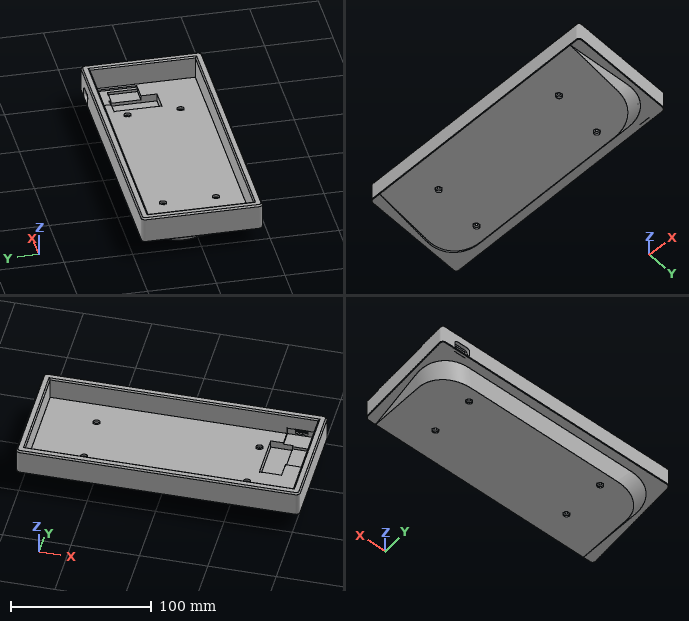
import cadquery as cq

LENGTH = 207.5
WIDTH = 88.4
TRAY_HEIGHT = 20.0
CORNER_RADIUS = 3.1
RIM_CHAMFER_IN = 1.0
RIM_CHAMFER_DOWN = 1.2
BASE_CHAMFER = 0.5
WALL = 5.8
FLOOR = 2.7
MOUTH_CHAMFER = 1.0

FOOT_DEPTH = 11.6
FOOT_FRONT_Y = BASE_CHAMFER - WIDTH / 2
FOOT_HEEL_Y = 30.5
FOOT_BACK_Y = 37.0
SOLE_HALF_LENGTH = 94.4
FOOT_BACK_HALF_LENGTH = 102.0
FOOT_CORNER_RADIUS = 29.5

SCREW_SPACING_X = 119.0
SCREW_SPACING_Y = 38.5
SCREW_HOLE_DIAMETER = 2.0
SCREW_HEAD_DIAMETER = 5.0
SCREW_HEAD_DEPTH = 1.9

CAVITY_BACK_Y = WIDTH / 2 - WALL
BOARD_LEFT = 75.0
BOARD_RIGHT = 95.8
BOARD_FRONT = 4.8
BOARD_DEPTH = 1.2
BOARD_WALL_RECESS = 1.5
BOARD_HEADROOM = 5.0
CHIP_RIGHT = 93.1
CHIP_BACK = 26.5
CHIP_DEPTH = 3.3
DEEP_LEFT = 65.7
DEEP_RIGHT = 82.0
DEEP_FRONT = -7.0
DEEP_BACK = 27.8
DEEP_DEPTH = 5.8

PORT_X = (BOARD_LEFT + BOARD_RIGHT) / 2
PORT_Z = 5.2
PORT_LENGTH = 9.1
PORT_HEIGHT = 5.0
PORT_CORNER_RADIUS = 0.8
PLUG_MARGIN = 2.0
PLUG_RECESS_DEPTH = 2.7


def box(x_min, x_max, y_min, y_max, z_min, z_max):
    """Axis-aligned block given by its limits."""
    block = cq.Workplane("XY").box(x_max - x_min, y_max - y_min, z_max - z_min, centered=False)
    return block.translate((x_min, y_min, z_min))


def cylinder(x, y, diameter, z_min, z_max):
    """Upright cylinder between two heights."""
    base = cq.Workplane("XY").workplane(offset=z_min).center(x, y)
    return base.circle(diameter / 2).extrude(z_max - z_min)


def tray():
    """Box with rounded corners, chamfered edges and a cavity that widens at its mouth."""
    body = cq.Workplane("XY").rect(LENGTH, WIDTH).extrude(TRAY_HEIGHT)
    body = body.edges("|Z").fillet(CORNER_RADIUS)
    body = body.faces(">Z").chamfer(RIM_CHAMFER_DOWN, RIM_CHAMFER_IN)
    body = body.faces("<Z").chamfer(BASE_CHAMFER)
    cavity_length = LENGTH - 2 * WALL
    cavity_width = WIDTH - 2 * WALL
    cavity = (
        cq.Workplane("XY")
        .workplane(offset=FLOOR)
        .rect(cavity_length, cavity_width)
        .extrude(TRAY_HEIGHT - FLOOR)
    )
    mouth = (
        cq.Workplane("XY")
        .workplane(offset=TRAY_HEIGHT - MOUTH_CHAMFER)
        .rect(cavity_length, cavity_width)
        .workplane(offset=MOUTH_CHAMFER)
        .rect(cavity_length + 2 * MOUTH_CHAMFER, cavity_width + 2 * MOUTH_CHAMFER)
        .loft()
    )
    return body.cut(cavity).cut(mouth)


def foot():
    """Five-sided wedge with flaring sides and broadly rounded rear corners."""
    front_left = (-SOLE_HALF_LENGTH, FOOT_FRONT_Y, 0)
    front_right = (SOLE_HALF_LENGTH, FOOT_FRONT_Y, 0)
    back_left = (-FOOT_BACK_HALF_LENGTH, FOOT_BACK_Y, 0)
    back_right = (FOOT_BACK_HALF_LENGTH, FOOT_BACK_Y, 0)
    heel_left = (-SOLE_HALF_LENGTH, FOOT_HEEL_Y, -FOOT_DEPTH)
    heel_right = (SOLE_HALF_LENGTH, FOOT_HEEL_Y, -FOOT_DEPTH)
    outlines = [
        [front_left, front_right, back_right, back_left],
        [front_left, front_right, heel_right, heel_left],
        [back_left, back_right, heel_right, heel_left],
        [front_left, back_left, heel_left],
        [front_right, back_right, heel_right],
    ]
    faces = [cq.Face.makeFromWires(cq.Wire.makePolygon(points, close=True)) for points in outlines]
    wedge = cq.Workplane(cq.Solid.makeSolid(cq.Shell.makeShell(faces)))
    middle_x = (SOLE_HALF_LENGTH + FOOT_BACK_HALF_LENGTH) / 2
    middle_y = (FOOT_HEEL_Y + FOOT_BACK_Y) / 2
    for x in (-middle_x, middle_x):
        rear_corner = cq.selectors.NearestToPointSelector((x, middle_y, -FOOT_DEPTH / 2))
        wedge = wedge.edges(rear_corner).fillet(FOOT_CORNER_RADIUS)
    return wedge


def electronics_pockets():
    """Shallow board bed reaching into the back wall, with two deeper pockets beside it."""
    board = box(BOARD_LEFT, BOARD_RIGHT, BOARD_FRONT, CAVITY_BACK_Y + BOARD_WALL_RECESS,
                FLOOR - BOARD_DEPTH, FLOOR + BOARD_HEADROOM)
    chip = box(DEEP_RIGHT, CHIP_RIGHT, BOARD_FRONT, CHIP_BACK, FLOOR - CHIP_DEPTH, FLOOR)
    deep = box(DEEP_LEFT, DEEP_RIGHT, DEEP_FRONT, DEEP_BACK, FLOOR - DEEP_DEPTH, FLOOR)
    return board.union(chip).union(deep)


def wall_opening(length, height, corner_radius, depth):
    """Rounded cutter reaching into the back wall from its outer face."""
    opening = cq.Workplane("XY").box(length, depth, height).edges("|Y").fillet(corner_radius)
    return opening.translate((PORT_X, (WIDTH - depth) / 2, PORT_Z))


def cable_port():
    """Opening through the back wall with a larger outer recess for the plug body."""
    port = wall_opening(PORT_LENGTH, PORT_HEIGHT, PORT_CORNER_RADIUS, WALL)
    plug_recess = wall_opening(
        PORT_LENGTH + 2 * PLUG_MARGIN,
        PORT_HEIGHT + 2 * PLUG_MARGIN,
        PORT_CORNER_RADIUS + PLUG_MARGIN,
        PLUG_RECESS_DEPTH,
    )
    return port.union(plug_recess)


def screw_holes():
    """Through holes with a round seat in the floor and another in the sloping sole."""
    slope = FOOT_DEPTH / (FOOT_HEEL_Y - FOOT_FRONT_Y)
    holes = cq.Workplane("XY")
    for x in (-SCREW_SPACING_X / 2, SCREW_SPACING_X / 2):
        for y in (-SCREW_SPACING_Y / 2, SCREW_SPACING_Y / 2):
            sole_z = -slope * (y - FOOT_FRONT_Y)
            floor_seat = cylinder(x, y, SCREW_HEAD_DIAMETER, FLOOR - SCREW_HEAD_DEPTH, FLOOR)
            sole_seat = cylinder(x, y, SCREW_HEAD_DIAMETER, -FOOT_DEPTH, sole_z + SCREW_HEAD_DEPTH)
            shank = cylinder(x, y, SCREW_HOLE_DIAMETER, -FOOT_DEPTH, FLOOR)
            holes = holes.add(floor_seat).add(sole_seat).add(shank)
    return holes.combine()


result = tray().union(foot()).cut(electronics_pockets()).cut(cable_port()).cut(screw_holes())